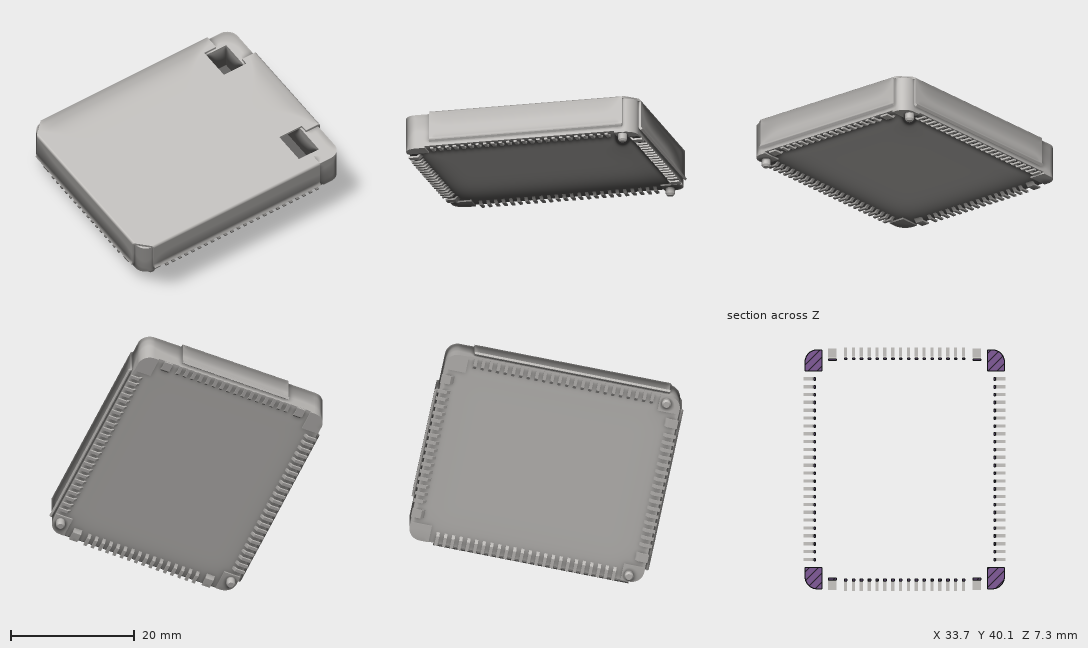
import cadquery as cq
import math

body_half_x = 16.15
body_half_y = 19.35
body_top = 5.65
corner_radius = 2.05
wall = 2.65
underside = 0.3
floor_top = 0.8
pad_inner_x = 13.35
pad_inner_y = 15.85

half_bend_slope = math.tan(math.radians(45 / 2))

peg_x = 15.0
peg_y = -17.0
peg_diameter = 1.5
peg_length = 1.25
peg_tip_height = 0.32
peg_tip_inset = 0.25

lead_width = 0.52
lead_thickness = 0.3
foot_length = 1.55
lead_embed = 0.12
lead_reach_x = 16.35
lead_reach_y = 19.7
front_lead_count = 16
front_lead_span = 19.05
side_lead_count = 24
side_lead_span = 29.2
tab_width = 1.4
tab_x = 11.65
tab_reach_y = 19.53

sheet = 0.4
cover_half_x = 16.5
cover_half_y = body_half_y + sheet
lip_reach_x = 16.85
lip_reach_y = 20.05
lip_tip_z = 1.1
lip_bend_radius = 0.55
front_skirt_half = 13.95
back_skirt_half = 9.3
side_skirt_front = -17.3
side_skirt_back = 14.95
window_front = 12.67
window_back = 17.05
window_inner = 8.05
window_outer = 13.8


def make_body():
    tray = (
        cq.Workplane("XY")
        .rect(2 * body_half_x, 2 * body_half_y)
        .extrude(body_top)
        .edges("|Z")
        .fillet(corner_radius)
    )
    cavity = (
        cq.Workplane("XY", origin=(0, 0, floor_top))
        .rect(2 * (body_half_x - wall), 2 * (body_half_y - wall))
        .extrude(body_top - floor_top)
    )
    gap_across = cq.Workplane("XY").rect(2 * body_half_x, 2 * pad_inner_y).extrude(underside)
    gap_along = cq.Workplane("XY").rect(2 * pad_inner_x, 2 * body_half_y).extrude(underside)
    return tray.cut(cavity).cut(gap_across).cut(gap_along)


def make_peg(x):
    radius = peg_diameter / 2
    tip_radius = radius - peg_tip_inset
    return (
        cq.Workplane("XZ")
        .moveTo(0, 0)
        .lineTo(radius, 0)
        .lineTo(radius, peg_tip_height - peg_length)
        .lineTo(tip_radius, -peg_length)
        .lineTo(0, -peg_length)
        .close()
        .revolve(360, (0, 0, 0), (0, 1, 0))
        .translate((x, peg_y, 0))
    )


def lead(reach, width):
    """Lead pointing along +X: a flat foot whose inner end rises at 45 degrees into the body."""
    heel = reach - foot_length
    root_z = underside + lead_embed
    rise = root_z + lead_thickness
    bend_shift = lead_thickness * half_bend_slope
    return (
        cq.Workplane("XZ")
        .moveTo(reach, -lead_thickness)
        .lineTo(heel, -lead_thickness)
        .lineTo(heel - rise, root_z)
        .lineTo(heel - rise + lead_thickness * math.sqrt(2), root_z)
        .lineTo(heel + bend_shift, 0)
        .lineTo(reach, 0)
        .close()
        .extrude(width / 2, both=True)
    )


def lead_row(reach, count, span):
    pitch = span / (count - 1)
    single = lead(reach, lead_width).val()
    return [single.translate(cq.Vector(0, i * pitch - span / 2, 0)) for i in range(count)]


def skirt(cover_half, lip_reach, start, end):
    """Skirt on the +X side, from Y = start to Y = end, with a 45 degree flared lip."""
    inner = cover_half - sheet
    bend_z = lip_tip_z + lip_reach - cover_half
    inner_bend_z = bend_z - sheet * half_bend_slope
    tip_step = sheet / math.sqrt(2)
    strip = (
        cq.Workplane("XZ", origin=(0, end, 0))
        .moveTo(inner, body_top)
        .lineTo(cover_half, body_top)
        .lineTo(cover_half, bend_z)
        .lineTo(lip_reach, lip_tip_z)
        .lineTo(lip_reach - tip_step, lip_tip_z - tip_step)
        .lineTo(inner, inner_bend_z)
        .close()
        .extrude(end - start)
    )
    outer_bend = cq.selectors.NearestToPointSelector((cover_half, (start + end) / 2, bend_z))
    strip = strip.edges(outer_bend).fillet(lip_bend_radius)
    inner_bend = cq.selectors.NearestToPointSelector((inner, (start + end) / 2, inner_bend_z))
    return strip.edges(inner_bend).fillet(lip_bend_radius + sheet)


def make_roof():
    """Flat roof with chamfered front corners and rounded outer edges that flow into the skirts."""
    right_outline = [
        (front_skirt_half, -cover_half_y),
        (cover_half_x, side_skirt_front),
        (cover_half_x, side_skirt_back),
        (window_outer, side_skirt_back),
        (window_outer, window_front),
        (window_inner, window_front),
        (window_inner, window_back),
        (back_skirt_half, window_back),
        (back_skirt_half, cover_half_y),
    ]
    left_outline = [(-x, y) for x, y in reversed(right_outline)]
    plate = (
        cq.Workplane("XY", origin=(0, 0, body_top - sheet))
        .polyline(right_outline + left_outline)
        .close()
        .extrude(2 * sheet)
        .faces(">Z")
        .edges("<X or >X or <Y or >Y")
        .fillet(sheet)
    )
    excess = (
        cq.Workplane("XY", origin=(0, 0, body_top - sheet))
        .rect(2 * cover_half_x, 2 * cover_half_y)
        .extrude(sheet)
    )
    return plate.cut(excess)


def turned(shape, angle):
    return shape.rotate((0, 0, 0), (0, 0, 1), angle)


def make_cover():
    side = skirt(cover_half_x, lip_reach_x, side_skirt_front, side_skirt_back)
    back = skirt(cover_half_y, lip_reach_y, -back_skirt_half, back_skirt_half)
    front = skirt(cover_half_y, lip_reach_y, -front_skirt_half, front_skirt_half)
    return (
        make_roof()
        .union(side)
        .union(side.mirror("YZ"))
        .union(turned(back, 90))
        .union(turned(front, -90))
    )


def make_leads():
    side_leads = lead_row(lead_reach_x, side_lead_count, side_lead_span)
    side_row = cq.Workplane(obj=cq.Compound.makeCompound(side_leads))
    tab = lead(tab_reach_y, tab_width).val()
    tabs = [tab.translate(cq.Vector(0, side * tab_x, 0)) for side in (-1, 1)]
    front_leads = lead_row(lead_reach_y, front_lead_count, front_lead_span)
    front_row = cq.Workplane(obj=cq.Compound.makeCompound(front_leads + tabs))
    return [side_row, turned(side_row, 180), turned(front_row, 90), turned(front_row, -90)]


result = make_body().union(make_cover())
for x in (-peg_x, peg_x):
    result = result.union(make_peg(x))
for row in make_leads():
    result = result.union(row)